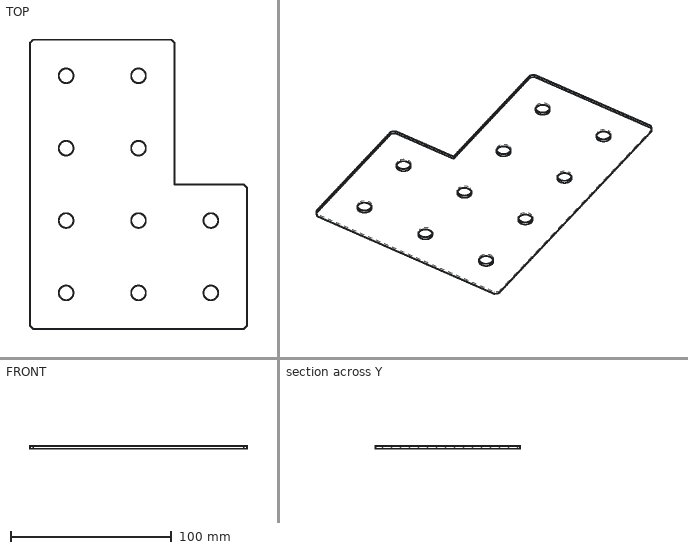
import cadquery as cq

pitch = 45.0
thickness = 2.0
hole_diameter = 9.0
corner_chamfer = 2.0
row_lengths = [3, 3, 2, 2]

width = max(row_lengths) * pitch
length = len(row_lengths) * pitch
arm_width = min(row_lengths) * pitch
foot_length = row_lengths.count(max(row_lengths)) * pitch


def make_plate():
    """L-shaped plate with its outer corners cut off and its inner corner sharp."""
    outline = [
        (0, 0),
        (width, 0),
        (width, foot_length),
        (arm_width, foot_length),
        (arm_width, length),
        (0, length),
    ]
    plate = cq.Workplane("XY").polyline(outline).close().extrude(thickness)
    inner_corner = cq.selectors.NearestToPointSelector((arm_width, foot_length, thickness / 2))
    outer_corners = cq.selectors.SubtractSelector(cq.StringSyntaxSelector("|Z"), inner_corner)
    return plate.edges(outer_corners).chamfer(corner_chamfer)


def hole_centers():
    """One hole in the middle of every grid cell."""
    return [
        ((column + 0.5) * pitch, (row + 0.5) * pitch)
        for row, cells in enumerate(row_lengths)
        for column in range(cells)
    ]


holes = cq.Workplane("XY").pushPoints(hole_centers()).circle(hole_diameter / 2).extrude(thickness)
result = make_plate().cut(holes)